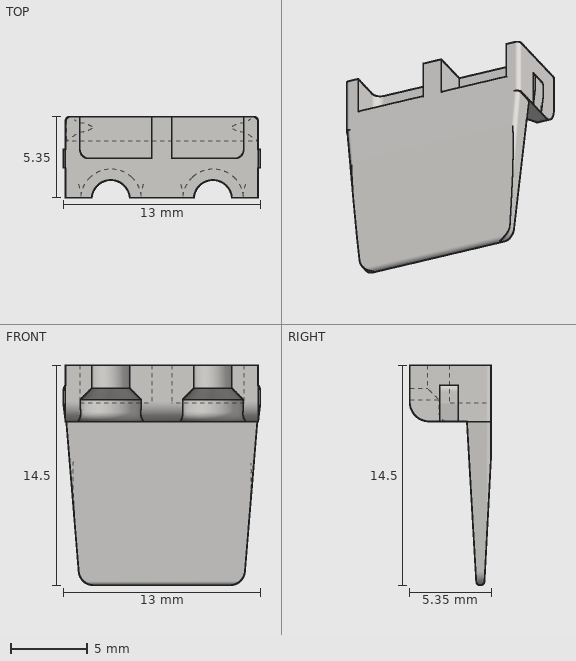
import cadquery as cq
import math


total_height = 14.45
head_width = 12.66
head_depth = 5.35
head_height = 3.7
front_round = 1.3
back_round = 0.3

pocket_depth = 2.47
pocket_length = 2.75
pocket_corner_radius = 0.58
end_wall = 0.95
rib_width = 1.33

seat_spacing = 6.7
seat_axis_y = -0.07
bore_radius = 1.24
bore_depth = 1.5
cone_height = 0.75
counterbore_radius = bore_radius + cone_height
flare_radius = 0.6

bump_projection = 0.15
bump_root = 0.29
bump_back_offset = 2.15
bump_length = 1.21
bump_top = -1.31
bump_arc_height = 0.4
bump_flat_end = -2.51

tongue_top_width = 12.55
tongue_bottom_width = 10.78
tongue_corner_radius = 1.0
tongue_top_thickness = 1.59
tongue_tip_thickness = 0.56
tongue_tip_back_offset = 0.42
tongue_taper_start = -6.17
tip_round_height = 0.29


def make_head():
    head = cq.Workplane("XY").box(head_width, head_depth, head_height, centered=(True, False, False))
    head = head.translate((0, 0, -head_height))
    head = head.edges("|Z and >Y").fillet(back_round)
    return head.edges("|X and <Y and <Z").fillet(front_round)


def make_pockets():
    width = head_width - 2 * end_wall
    block = cq.Workplane("XY").box(width, 2 * pocket_length, pocket_depth, centered=(True, False, False))
    block = block.translate((0, head_depth - pocket_length, -pocket_depth))
    block = block.edges("|Z and <Y").fillet(pocket_corner_radius)
    rib = cq.Workplane("XY").box(rib_width, 4 * head_depth, 2 * head_height)
    return block.cut(rib)


def make_seat(x):
    cone_end = -bore_depth - cone_height
    flare_start = -head_height + flare_radius
    flare_mid_radius = counterbore_radius + flare_radius * (1 - math.sqrt(0.5))
    flare_mid_z = flare_start - flare_radius * math.sqrt(0.5)
    profile = (
        cq.Workplane("XZ")
        .lineTo(bore_radius, 0)
        .lineTo(bore_radius, -bore_depth)
        .lineTo(counterbore_radius, cone_end)
        .lineTo(counterbore_radius, flare_start)
        .threePointArc((flare_mid_radius, flare_mid_z), (counterbore_radius + flare_radius, -head_height))
        .lineTo(0, -head_height)
        .close()
    )
    return profile.revolve(360, (0, 0), (0, 1)).translate((x, seat_axis_y, 0))


def make_bump():
    wall = head_width / 2
    crest = wall + bump_projection
    bump_back = head_depth - bump_back_offset
    return (
        cq.Workplane("XZ", origin=(0, bump_back, 0))
        .moveTo(wall, -head_height)
        .lineTo(crest, bump_flat_end)
        .lineTo(crest, bump_top - bump_arc_height)
        .tangentArcPoint((wall, bump_top), relative=False)
        .lineTo(wall - bump_root, bump_top)
        .lineTo(wall - bump_root, -head_height)
        .close()
        .extrude(bump_length)
    )


def make_tongue():
    outline = (
        cq.Workplane("XZ", origin=(0, head_depth, 0))
        .moveTo(-tongue_top_width / 2, -head_height)
        .lineTo(tongue_top_width / 2, -head_height)
        .lineTo(tongue_bottom_width / 2, -total_height)
        .lineTo(-tongue_bottom_width / 2, -total_height)
        .close()
        .extrude(tongue_top_thickness)
    )
    outline = outline.edges("|Y and <Z").fillet(tongue_corner_radius)
    outline = outline.faces(">Y").edges("not |X").fillet(back_round)

    front_top = head_depth - tongue_top_thickness
    tip_back = head_depth - tongue_tip_back_offset
    tip_front = tip_back - tongue_tip_thickness
    tip_middle = (tip_back + tip_front) / 2
    round_start = -total_height + tip_round_height
    profile = (
        cq.Workplane("YZ", origin=(-head_width / 2, 0, 0))
        .moveTo(front_top, -head_height)
        .lineTo(tip_front, round_start)
        .threePointArc((tip_middle, -total_height), (tip_back, round_start))
        .lineTo(head_depth, tongue_taper_start)
        .lineTo(head_depth, -head_height)
        .close()
        .extrude(head_width)
    )
    return outline.intersect(profile)


result = make_head().cut(make_pockets())
for side in (-1, 1):
    result = result.cut(make_seat(side * seat_spacing / 2))

bump = make_bump()
result = result.union(make_tongue()).union(bump).union(bump.mirror("YZ"))